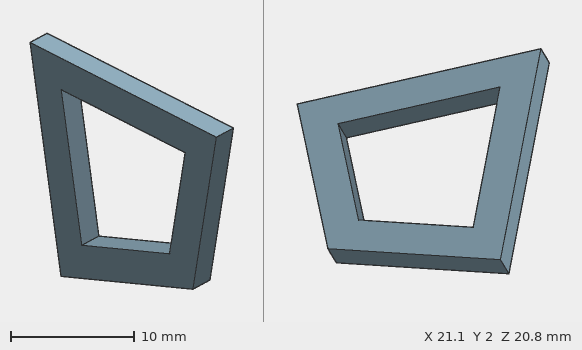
import cadquery as cq

top_width = 21.1
height = 20.81
thickness = 2.0

low_corner_x = 3.5
right_corner_x = 18.45
right_corner_drop = 15.65

bar_width = 3.0

outline = [
    (0, 0),
    (top_width, 0),
    (right_corner_x, -right_corner_drop),
    (low_corner_x, -height),
]


def outline_sketch():
    """Closed outer outline in the XZ plane."""
    return cq.Workplane("XZ").polyline(outline).close()


plate = outline_sketch().extrude(thickness)

window = outline_sketch().offset2D(-bar_width, "intersection").extrude(thickness)

result = plate.cut(window)